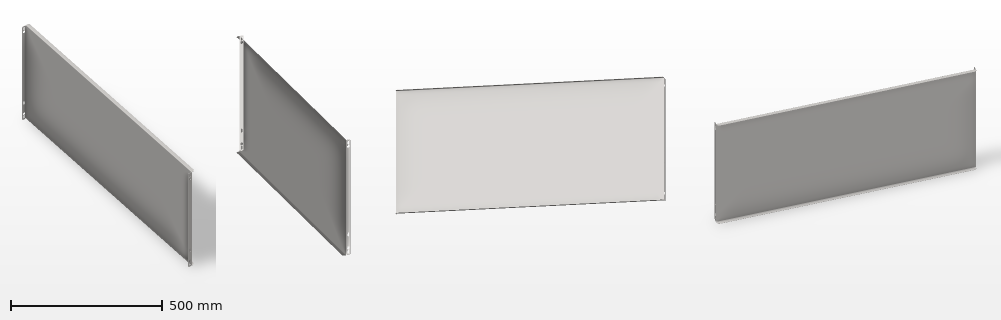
import cadquery as cq

length = 906.0
depth = 27.0
height = 420.0
front_y = -depth / 2
back_y = depth / 2

sheet = 1.0
bend_radius = 1.4
outer_radius = bend_radius + sheet
panel_back = 2.0
panel_front = panel_back - sheet

end_flange_inset = sheet
back_corner = 4.5
side_corner = 3.0
relief_depth = 3.0
side_flange_height = height - 2 * sheet

opening_y = -6.8
hole_diameter = 10.0
hole_z = 184.0
slot_width = 5.0
slot_length = 14.0
end_slot_z = 197.5
lower_slot_z = -136.0


def block(x_size, y_min, y_max, z_size):
    """Block centred in X and Z between two Y positions."""
    centre_y = (y_min + y_max) / 2
    return cq.Workplane("XY").box(x_size, y_max - y_min, z_size).translate((0, centre_y, 0))


def side_channel():
    """Panel with two side flanges bent forward and relieved next to the bend."""
    outer = block(length, front_y, panel_back, side_flange_height)
    space = block(length - 2 * sheet, front_y, panel_front, height)
    channel = outer.cut(space).edges("|X and <Y").chamfer(side_corner)
    relief_front = panel_front - relief_depth
    relief = block(length, relief_front, panel_back, height)
    relief = relief.cut(block(length, relief_front, panel_back, height - 2 * outer_radius))
    return channel.cut(relief)


def end_channel():
    """Panel with top and bottom flanges bent backward, their free corners chamfered."""
    flange_length = length - 2 * end_flange_inset
    outer = block(flange_length, panel_front, back_y, height)
    space = block(flange_length, panel_back, back_y, height - 2 * sheet)
    outer = outer.edges("|X and <Y").fillet(outer_radius)
    space = space.edges("|X and <Y").fillet(bend_radius)
    return outer.cut(space).edges("|Z and >Y").chamfer(back_corner)


def side_openings():
    """Round holes and vertical slots passing through both side flanges."""
    hole_points = [(opening_y, hole_z), (opening_y, -hole_z)]
    slot_points = [(opening_y, z) for z in (end_slot_z, -end_slot_z, lower_slot_z)]
    side_plane = cq.Workplane("YZ", origin=(-length / 2, 0, 0))
    holes = side_plane.pushPoints(hole_points).circle(hole_diameter / 2).extrude(length)
    slots = side_plane.pushPoints(slot_points).slot2D(slot_length, slot_width, 90).extrude(length)
    return holes, slots


holes, slots = side_openings()
result = side_channel().union(end_channel()).cut(holes).cut(slots)